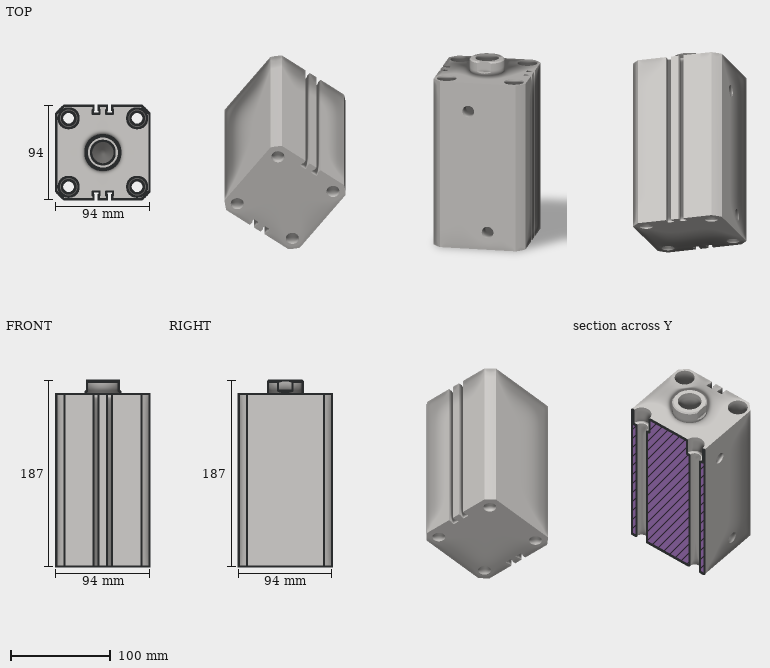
import cadquery as cq
import math

total_height = 187.0
rod_protrusion = 13.5
body_side = 94.0
body_height = total_height - rod_protrusion
half_side = body_side / 2

corner_radius = 61.0

bolt_spacing = 68.8
bolt_hole_diameter = 13.0
counterbore_diameter = 20.0
counterbore_depth = 18.7

slot_spacing = 13.5
slot_mouth_width = 5.0
slot_mouth_depth = 4.3
slot_base_width = 6.5
slot_depth = 7.9

port_mouth_diameter = 12.0
port_floor_diameter = 10.8
port_depth = 15.0
port_offset = 10.0
upper_port_drop = 30.0
lower_port_height = 18.1

rod_diameter = 35.2
rod_length = 65.5
rod_chamfer = 1.3
rod_bottom = total_height - rod_length

rod_hole_diameter = 23.7
rod_hole_depth = 33.7
drill_point_angle = 118.0

flats_width = 32.0
flats_length = 10.1


def make_blank():
    """Square prism with its four corners turned to the corner radius."""
    square = cq.Workplane("XY").rect(body_side, body_side).extrude(body_height)
    corner_round = cq.Workplane("XY").circle(corner_radius).extrude(body_height)
    return square.intersect(corner_round)


def make_bolt_holes():
    """Through holes with counterbores from the top face."""
    shanks = (
        cq.Workplane("XY")
        .rect(bolt_spacing, bolt_spacing, forConstruction=True)
        .vertices()
        .circle(bolt_hole_diameter / 2)
        .extrude(body_height)
    )
    counterbores = (
        cq.Workplane("XY", origin=(0, 0, body_height))
        .rect(bolt_spacing, bolt_spacing, forConstruction=True)
        .vertices()
        .circle(counterbore_diameter / 2)
        .extrude(-counterbore_depth)
    )
    return shanks.union(counterbores)


def make_slot(center_x, face_sign):
    """Full-height T-slot cutter; face_sign is -1 for the -Y face and +1 for the +Y face."""
    face_y = face_sign * half_side
    step_y = face_sign * (half_side - slot_mouth_depth)
    base_y = face_sign * (half_side - slot_depth)
    mouth = slot_mouth_width / 2
    base = slot_base_width / 2
    return (
        cq.Workplane("XY")
        .moveTo(center_x - mouth, face_y)
        .lineTo(center_x - mouth, step_y)
        .lineTo(center_x - base, step_y)
        .lineTo(center_x - base, base_y)
        .lineTo(center_x + base, base_y)
        .lineTo(center_x + base, step_y)
        .lineTo(center_x + mouth, step_y)
        .lineTo(center_x + mouth, face_y)
        .close()
        .extrude(body_height)
    )


def make_port(y, z):
    """Flat-bottomed tapered port cutter going in from the -X face, revolved about its own axis."""
    return (
        cq.Workplane("XY", origin=(-half_side, y, z))
        .moveTo(0, 0)
        .lineTo(0, port_mouth_diameter / 2)
        .lineTo(port_depth, port_floor_diameter / 2)
        .lineTo(port_depth, 0)
        .close()
        .revolve(360, (0, 0, 0), (1, 0, 0))
    )


def make_body():
    body = make_blank().cut(make_bolt_holes())
    for face_sign in (-1, 1):
        for side in (-1, 1):
            body = body.cut(make_slot(side * slot_spacing / 2, face_sign))
    body = body.cut(make_port(port_offset, body_height - upper_port_drop))
    body = body.cut(make_port(-port_offset, lower_port_height))
    rod_bore = cq.Workplane("XY", origin=(0, 0, rod_bottom)).circle(rod_diameter / 2).extrude(rod_length)
    return body.cut(rod_bore)


def make_rod_hole():
    """Blind hole with a conical bottom, revolved about the rod axis."""
    radius = rod_hole_diameter / 2
    cone_start = total_height - rod_hole_depth
    cone_height = radius / math.tan(math.radians(drill_point_angle / 2))
    return (
        cq.Workplane("XZ")
        .moveTo(0, total_height)
        .lineTo(radius, total_height)
        .lineTo(radius, cone_start)
        .lineTo(0, cone_start - cone_height)
        .close()
        .revolve(360, (0, 0, 0), (0, 1, 0))
    )


def make_flat(side):
    """Cutter for one wrench flat; its lower face rises towards the axis at 45 degrees."""
    rod_radius = rod_diameter / 2
    flat_x = flats_width / 2
    flat_bottom = total_height - flats_length
    runout = rod_radius - flat_x
    return (
        cq.Workplane("XZ")
        .moveTo(side * flat_x, total_height)
        .lineTo(side * flat_x, flat_bottom)
        .lineTo(side * rod_radius, flat_bottom - runout)
        .lineTo(side * rod_radius, total_height)
        .close()
        .extrude(rod_radius, both=True)
    )


def make_rod():
    rod = (
        cq.Workplane("XY", origin=(0, 0, rod_bottom))
        .circle(rod_diameter / 2)
        .extrude(rod_length)
        .faces(">Z")
        .edges()
        .chamfer(rod_chamfer)
        .cut(make_rod_hole())
    )
    for side in (-1, 1):
        rod = rod.cut(make_flat(side))
    return rod


body = make_body()
rod = make_rod()

result = cq.Compound.makeCompound([body.val(), rod.val()])